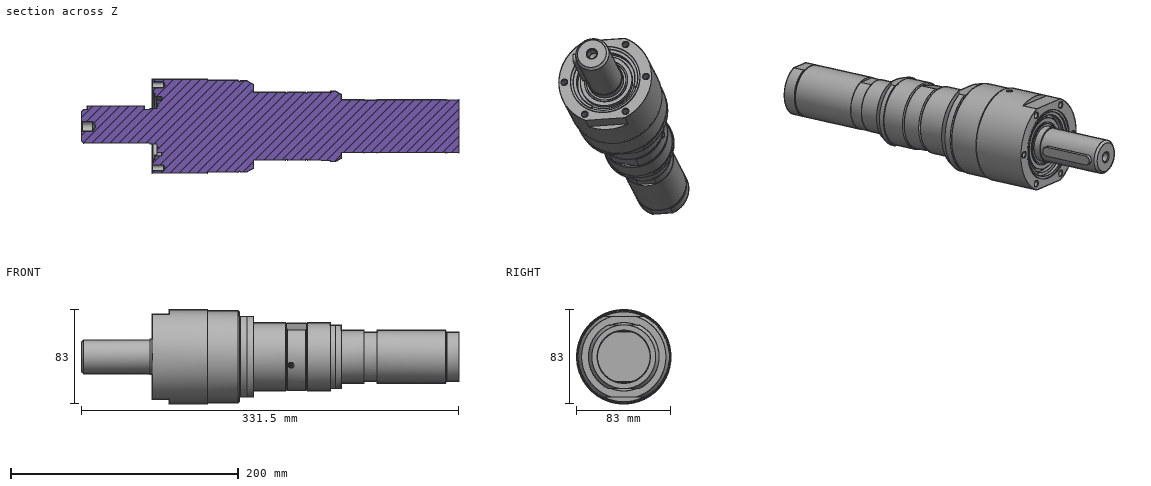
import cadquery as cq
import math

total_length = 331.5

shaft_diameter = 30.0
shaft_chamfer = 2.0
collar_start = 60.0
collar_diameter = 31.5

key_start = 5.0
key_length = 50.5
key_width = 8.3
key_top = 18.0

body_start = 62.0
body_diameter = 83.0
body_step = 110.7
body_rear_diameter = 81.0
body_end = 138.5
edge_chamfer = 1.0
body_flat_end = 77.0
body_flat_offset = 37.5

front_nut_end = 151.0
front_nut_diameter = 80.2
front_nut_cone_start = 145.2
front_nut_cone_diameter = 74.0
front_nut_flat_offset = 35.5

tube_diameter = 60.0
tube_end = 218.5
band_start = 180.0
band_end = 197.5
groove_depth = 1.0
band_flat_offset = 27.5
band_tilt = 14.5

rear_nut_end = 228.0
rear_nut_diameter = 62.0
rear_nut_cone_start = 222.8
rear_nut_cone_diameter = 56.0
rear_nut_flat_offset = 28.0

motor_diameter = 46.7
motor_flat_offset = 21.5
neck_start = 248.0
neck_end = 259.5
neck_diameter = 46.0
end_flat_start = 320.0
end_groove_depth = 0.5

recess_diameter = 57.7
recess_depth = 4.3
recess_lip_diameter = 62.0
recess_lip_depth = 1.0

moat_outer_diameter = 52.0
moat_inner_diameter = 46.0
moat_depth = 4.0
seal_ring_outer_diameter = 38.5
seal_ring_inner_diameter = 35.5
seal_ring_depth = 0.5

retaining_ring_inner_diameter = 52.0
retaining_ring_depth = 2.3
retaining_ring_thickness = 1.5
retaining_ring_gap_start = -164.0
retaining_ring_gap_end = -63.0

drill_point_angle = 118.0
centre_hole_diameter = 8.3
centre_hole_mouth = 10.0
centre_hole_depth = 10.0
bolt_count = 6
bolt_circle_diameter = 73.0
bolt_hole_diameter = 5.0
bolt_hole_mouth = 6.0
bolt_hole_depth = 10.0
port_diameter = 2.5
port_mouth = 5.0
port_depth = 5.0
port_mouth_depth = 1.3
body_port_position = 104.5
band_port_position = 184.0


def cylinder(start, end, diameter):
    """Round bar along X between two stations."""
    return cq.Workplane("YZ", origin=(start, 0, 0)).circle(diameter / 2).extrude(end - start)


def ring(start, end, outer_diameter, inner_diameter):
    """Tube along X between two stations."""
    return cylinder(start, end, outer_diameter).cut(cylinder(start, end, inner_diameter))


def revolved(profile):
    """Solid of revolution about X from (station, radius) points."""
    return cq.Workplane("XY").polyline(profile).close().revolve(360, (0, 0, 0), (1, 0, 0))


def flat_cutter(start, end, offset, diameter):
    """Block that leaves a flat facing +Z at the given distance from the axis."""
    height = diameter / 2
    block = cq.Workplane("XY").box(end - start, diameter, height, centered=(False, True, False))
    return block.translate((start, 0, offset))


def flat_pair_cutter(start, end, offset, diameter, tilt=0.0):
    """Two opposite flat cutters, tilted about X."""
    upper = flat_cutter(start, end, offset, diameter)
    lower = upper.rotate((0, 0, 0), (1, 0, 0), 180)
    return upper.union(lower).rotate((0, 0, 0), (1, 0, 0), tilt)


def v_groove(station, diameter, depth):
    """Ring cutter with a 90 degree V section centred on a station."""
    radius = diameter / 2
    return revolved([
        (station, radius - depth),
        (station + 2 * depth, radius + depth),
        (station - 2 * depth, radius + depth),
    ])


def drilled_hole(diameter, mouth, depth):
    """Blind hole along +X from the origin, countersunk at 90 degrees and ending in a drill point."""
    radius = diameter / 2
    sink_depth = (mouth - diameter) / 2
    point_length = radius / math.tan(math.radians(drill_point_angle / 2))
    return revolved([
        (0, 0),
        (0, mouth / 2),
        (sink_depth, radius),
        (depth, radius),
        (depth + point_length, 0),
    ])


def radial_port(station, surface_diameter, tilt=0.0):
    """Counterbored hole running in from the +Z side, turned about X by the tilt."""
    surface = surface_diameter / 2
    hole = cq.Workplane("XY", origin=(0, 0, surface - port_depth))
    hole = hole.circle(port_diameter / 2).extrude(port_depth)
    mouth = cq.Workplane("XY", origin=(0, 0, surface - port_mouth_depth))
    mouth = mouth.circle(port_mouth / 2).extrude(2 * port_mouth_depth)
    return hole.union(mouth).translate((station, 0, 0)).rotate((0, 0, 0), (1, 0, 0), tilt)


def nut_blank(start, end, diameter, cone_start, cone_diameter):
    """Round nut with a tapered rear edge."""
    return revolved([
        (start, 0),
        (start, diameter / 2),
        (cone_start, diameter / 2),
        (end, cone_diameter / 2),
        (end, 0),
    ])


def make_shaft():
    shaft = cylinder(0, body_step, shaft_diameter).faces("<X").chamfer(shaft_chamfer)
    shaft = shaft.union(cylinder(collar_start, body_step, collar_diameter))
    key = cq.Workplane("XZ").center(key_start + key_length / 2, 0)
    key = key.slot2D(key_length, key_width).extrude(-key_top)
    centre_hole = drilled_hole(centre_hole_diameter, centre_hole_mouth, centre_hole_depth)
    return shaft.union(key).cut(centre_hole)


def make_body():
    body = cylinder(body_start, body_step, body_diameter)
    rear = cylinder(body_step, body_end, body_rear_diameter).faces(">X").chamfer(edge_chamfer)
    body = body.union(rear)
    body = body.cut(flat_pair_cutter(body_start, body_flat_end, body_flat_offset, body_diameter))

    body = body.cut(cylinder(body_start, body_start + recess_lip_depth, recess_lip_diameter))
    floor = body_start + recess_depth
    body = body.cut(cylinder(body_start, floor, recess_diameter))
    body = body.cut(ring(floor, floor + moat_depth, moat_outer_diameter, moat_inner_diameter))
    body = body.cut(
        ring(floor, floor + seal_ring_depth, seal_ring_outer_diameter, seal_ring_inner_diameter)
    )

    bolt_hole = drilled_hole(bolt_hole_diameter, bolt_hole_mouth, bolt_hole_depth)
    for index in range(bolt_count):
        angle = 2 * math.pi * index / bolt_count
        y = bolt_circle_diameter / 2 * math.cos(angle)
        z = bolt_circle_diameter / 2 * math.sin(angle)
        body = body.cut(bolt_hole.translate((body_start, y, z)))
    return body.cut(radial_port(body_port_position, body_diameter))


def make_retaining_ring():
    """Open ring seated against the recess wall."""
    start = body_start + retaining_ring_depth
    end = start + retaining_ring_thickness
    closed_ring = ring(start, end, recess_diameter, retaining_ring_inner_diameter)
    reach = recess_diameter
    corners = [(0, 0)]
    for angle in (retaining_ring_gap_start, retaining_ring_gap_end):
        radians = math.radians(angle)
        corners.append((reach * math.cos(radians), reach * math.sin(radians)))
    gap = cq.Workplane("YZ", origin=(start, 0, 0)).polyline(corners).close()
    return closed_ring.cut(gap.extrude(retaining_ring_thickness))


def make_tube():
    tube = cylinder(front_nut_end, tube_end, tube_diameter)
    for station in (band_start, band_end):
        tube = tube.cut(v_groove(station, tube_diameter, groove_depth))
    tube = tube.cut(flat_pair_cutter(band_start, band_end, band_flat_offset, tube_diameter, band_tilt))
    return tube.cut(radial_port(band_port_position, tube_diameter, band_tilt + 90))


def make_motor():
    motor = cylinder(rear_nut_end, total_length, motor_diameter)
    motor = motor.cut(ring(neck_start, neck_end, motor_diameter, neck_diameter))
    motor = motor.cut(v_groove(end_flat_start, motor_diameter, end_groove_depth))
    for start, end in ((neck_start, neck_end), (end_flat_start, total_length)):
        motor = motor.cut(flat_pair_cutter(start, end, motor_flat_offset, motor_diameter))
    return motor


def make_front_nut():
    nut = nut_blank(
        body_end, front_nut_end, front_nut_diameter, front_nut_cone_start, front_nut_cone_diameter
    )
    nut = nut.faces("<X").chamfer(edge_chamfer)
    return nut.cut(flat_pair_cutter(body_end, front_nut_end, front_nut_flat_offset, front_nut_diameter))


def make_rear_nut():
    nut = nut_blank(tube_end, rear_nut_end, rear_nut_diameter, rear_nut_cone_start, rear_nut_cone_diameter)
    return nut.cut(flat_pair_cutter(tube_end, rear_nut_end, rear_nut_flat_offset, rear_nut_diameter))


result = make_body()
sections = [
    make_retaining_ring(),
    make_shaft(),
    make_front_nut(),
    make_tube(),
    make_rear_nut(),
    make_motor(),
]
for section in sections:
    result = result.union(section)